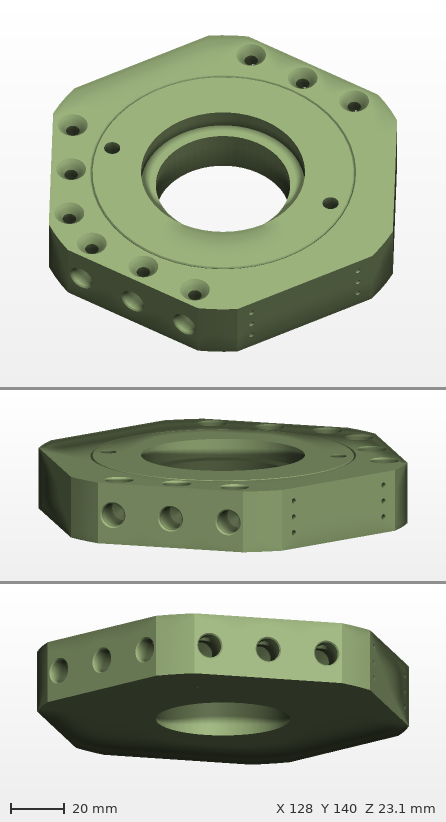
import cadquery as cq
import math

HOUSING_HEIGHT = 23.0
ACROSS_FLATS = 128.0
CORNER_DIAMETER = 140.0

JOINT_DIAMETER = 98.0
JOINT_CHAMFER = 0.5
DISC_STANDOUT = 0.1
DISC_HEIGHT = HOUSING_HEIGHT + DISC_STANDOUT

BORE_DIAMETER = 50.0
COUNTERBORE_DIAMETER = 61.0
COUNTERBORE_DEPTH = 7.0

DOWEL_DIAMETER = 6.0
DOWEL_DEPTH = 10.0
DOWEL_CIRCLE_RADIUS = 43.0
DOWEL_ANGLES = (40.0, 225.0)

PORT_FACE_ANGLES = (120.0, 240.0, 300.0)
PORT_SPACING = 22.5
PORT_HEIGHT = 11.0
PORT_DIAMETER = 8.8
PORT_MOUTH_DIAMETER = 9.8
PORT_CHAMFER_ANGLE = 45.0
PORT_DEPTH = 13.0
DRILL_POINT_ANGLE = 118.0
TOP_HOLE_SETBACK = 7.5
TOP_HOLE_DIAMETER = 5.0
TOP_SINK_DIAMETER = 11.0
TOP_SINK_ANGLE = 90.0

SMALL_HOLE_FACE_ANGLES = (0.0, 180.0)
SCREW_HOLE_DIAMETER = 2.05
PIN_HOLE_DIAMETER = 2.0
SMALL_HOLE_DEPTH = 5.0
SMALL_HOLE_MID_HEIGHT = 12.0
SMALL_HOLE_PITCH = 6.0
SMALL_HOLE_SPREAD = 45.0

FLAT_DISTANCE = ACROSS_FLATS / 2


def cylinder(diameter, height, base=0.0):
    return cq.Workplane("XY", origin=(0, 0, base)).circle(diameter / 2).extrude(height)


def flat_plane(angle, height):
    """Plane on the flat whose outward normal is at `angle`; local x is level, local y is up."""
    direction = math.radians(angle)
    normal = (math.cos(direction), math.sin(direction), 0)
    level = (-normal[1], normal[0], 0)
    origin = (FLAT_DISTANCE * normal[0], FLAT_DISTANCE * normal[1], height)
    return cq.Plane(origin=origin, xDir=level, normal=normal)


def drilled_hole(plane, x, y, diameter, depth):
    """Blind hole bored into `plane`, ending in a drill point beyond its full-diameter depth."""
    radius = diameter / 2
    point_length = radius / math.tan(math.radians(DRILL_POINT_ANGLE / 2))
    outline = [(0, 0), (radius, 0), (radius, -depth), (0, -depth - point_length)]
    hole = cq.Workplane("XZ").polyline(outline).close().revolve(360, (0, 0, 0), (0, 1, 0)).val()
    return cq.Workplane(hole.translate(cq.Vector(x, y, 0)).moved(cq.Location(plane)))


def make_blank():
    hexagon_diameter = ACROSS_FLATS / math.cos(math.pi / 6)
    hexagon = cq.Workplane("XY").polygon(6, hexagon_diameter).extrude(HOUSING_HEIGHT)
    hexagon = hexagon.rotate((0, 0, 0), (0, 0, 1), 30)
    return hexagon.intersect(cylinder(CORNER_DIAMETER, HOUSING_HEIGHT))


def port_cutter(angle, offset):
    """One side port with its chamfered mouth, and the countersunk top hole that opens into it."""
    plane = flat_plane(angle, PORT_HEIGHT)
    chamfer = (PORT_MOUTH_DIAMETER - PORT_DIAMETER) / 2
    port = drilled_hole(plane, offset, 0, PORT_DIAMETER, PORT_DEPTH)
    mouth = cq.Workplane(plane).center(offset, 0).circle(PORT_MOUTH_DIAMETER / 2)
    mouth = mouth.extrude(-chamfer, taper=PORT_CHAMFER_ANGLE)

    spot = plane.toWorldCoords((offset, 0, -TOP_HOLE_SETBACK))
    sink_width = (TOP_SINK_DIAMETER - TOP_HOLE_DIAMETER) / 2
    sink_depth = sink_width / math.tan(math.radians(TOP_SINK_ANGLE / 2))
    drill = cylinder(TOP_HOLE_DIAMETER, HOUSING_HEIGHT - PORT_HEIGHT, PORT_HEIGHT)
    sink = cq.Workplane("XY", origin=(0, 0, HOUSING_HEIGHT)).circle(TOP_SINK_DIAMETER / 2)
    sink = sink.extrude(-sink_depth, taper=TOP_SINK_ANGLE / 2)
    top_hole = drill.union(sink).translate((spot.x, spot.y, 0))
    return port.union(mouth).union(top_hole)


def make_housing():
    housing = make_blank().cut(cylinder(JOINT_DIAMETER, HOUSING_HEIGHT))
    joint_rim = housing.faces(">Z").edges(cq.selectors.RadiusNthSelector(0))
    housing = joint_rim.chamfer(JOINT_CHAMFER)
    for angle in PORT_FACE_ANGLES:
        for step in (-1, 0, 1):
            housing = housing.cut(port_cutter(angle, step * PORT_SPACING))
    for angle in SMALL_HOLE_FACE_ANGLES:
        plane = flat_plane(angle, SMALL_HOLE_MID_HEIGHT)
        for x in (-SMALL_HOLE_SPREAD / 2, SMALL_HOLE_SPREAD / 2):
            for y in (-SMALL_HOLE_PITCH, SMALL_HOLE_PITCH):
                housing = housing.cut(drilled_hole(plane, x, y, SCREW_HOLE_DIAMETER, SMALL_HOLE_DEPTH))
            pin_hole = cq.Workplane(plane).center(x, 0).circle(PIN_HOLE_DIAMETER / 2)
            housing = housing.cut(pin_hole.extrude(-SMALL_HOLE_DEPTH))
    return housing


def make_disc():
    disc = cylinder(JOINT_DIAMETER, DISC_HEIGHT).faces(">Z").chamfer(JOINT_CHAMFER)
    disc = disc.cut(cylinder(BORE_DIAMETER, DISC_HEIGHT))
    disc = disc.cut(cylinder(COUNTERBORE_DIAMETER, COUNTERBORE_DEPTH, DISC_HEIGHT - COUNTERBORE_DEPTH))
    for angle in DOWEL_ANGLES:
        direction = math.radians(angle)
        x = DOWEL_CIRCLE_RADIUS * math.cos(direction)
        y = DOWEL_CIRCLE_RADIUS * math.sin(direction)
        dowel_hole = cylinder(DOWEL_DIAMETER, DOWEL_DEPTH, DISC_HEIGHT - DOWEL_DEPTH)
        disc = disc.cut(dowel_hole.translate((x, y, 0)))
    return disc


housing = make_housing()
disc = make_disc()
result = cq.Compound.makeCompound([housing.val(), disc.val()])